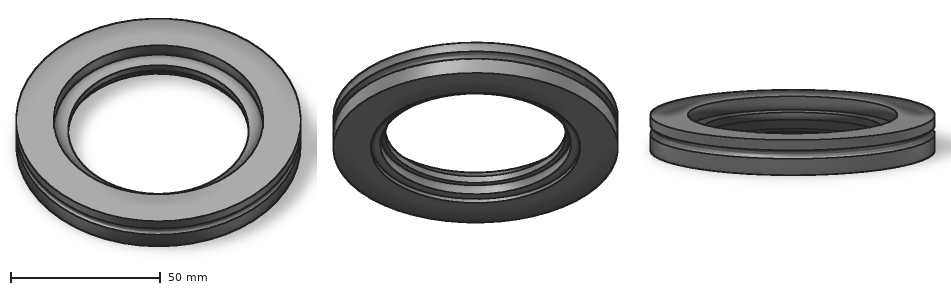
import cadquery as cq
import math

outer_diameter = 95.0
thickness = 12.0

bore_diameter = 60.2
upper_recess_diameter = 69.9
upper_recess_depth = 4.6
seat_diameter = 63.65
seat_depth = 4.9
lower_recess_diameter = upper_recess_diameter
lower_recess_depth = 1.5

groove_radius = 1.4
groove_height = 7.0


def disc(diameter, height, bottom):
    """Solid disc on the Z axis, starting at the given height."""
    return cq.Workplane("XY").workplane(offset=bottom).circle(diameter / 2).extrude(height)


def rim_groove():
    """Half-round groove cutter: two quarter arcs meeting at the groove floor, revolved about Z."""
    rim = outer_diameter / 2
    diagonal = groove_radius * math.sqrt(0.5)
    return (
        cq.Workplane("XZ")
        .moveTo(rim, groove_height - groove_radius)
        .threePointArc(
            (rim - diagonal, groove_height - diagonal),
            (rim - groove_radius, groove_height),
        )
        .threePointArc(
            (rim - diagonal, groove_height + diagonal),
            (rim, groove_height + groove_radius),
        )
        .close()
        .revolve(360, (0, 0), (0, 1))
    )


ring = disc(outer_diameter, thickness, 0)
bore = disc(bore_diameter, thickness, 0)
upper_recess = disc(upper_recess_diameter, upper_recess_depth, thickness - upper_recess_depth)
seat = disc(seat_diameter, seat_depth, 0)
lower_recess = disc(lower_recess_diameter, lower_recess_depth, 0)

result = ring.cut(bore).cut(upper_recess).cut(seat).cut(lower_recess).cut(rim_groove())